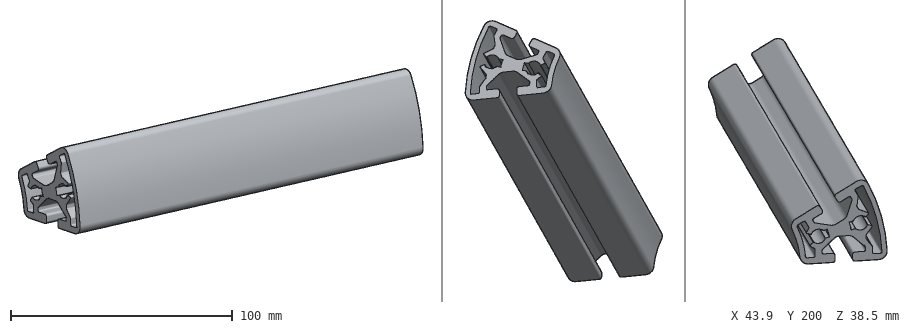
import cadquery as cq
import math

LENGTH = 200.0
SECTOR_ANGLE = 30.0
INNER_RADIUS = 40.0
OUTER_RADIUS = 80.0
MIDDLE_RADIUS = (INNER_RADIUS + OUTER_RADIUS) / 2
CORNER_RADIUS = 4.0

INNER_WALL = 2.5
OUTER_WALL = 2.5
FACE_WALL = 3.0
CAVITY_CORNER_RADIUS = 0.8
CUT_REACH = 20.0

SLOT_HALF_OPENING = 4.0
SLOT_LIP = 4.5
SLOT_HALF_WIDTH = 10.0
SLOT_SIDE_TOP = 6.5
SLOT_HALF_FLOOR = 3.5
SLOT_DEPTH = 12.5
SLOT_CORNER_RADIUS = 0.8
SLOT_FLOOR_RADIUS = 3.5
LIP_EDGE_RADIUS = 1.2
MOUTH_CLEARANCE = 2.0

WEB_SIDE = 13.2
WEB_SLOPE_START = 6.5
WEB_SLOPE_END = 10.5
WEB_SLOPE_RUN = 3.0
WEB_NOTCH_TOP = 12.2
INNER_WEB_TOP = 7.0

CHANNEL_OFFSET = 10.0
CHANNEL_RADIUS = 3.5
CHANNEL_NOTCH = 4.8
CHANNEL_MOUTH_HALF = 1.9
ARM_INNER_REACH = 3.0
ARM_TIP_REACH = 5.0
ARM_TIP_OFFSET = 3.2
ARM_RADIUS = 0.5


def on_bisector(along, across):
    """Point given along and across the bisector, turned into X and Z."""
    turn = math.radians(SECTOR_ANGLE / 2)
    return (
        along * math.cos(turn) - across * math.sin(turn),
        along * math.sin(turn) + across * math.cos(turn),
    )


def prism(corners):
    """Full-length prism over a polygon of (point, rounding radius) corners."""
    outline = cq.Workplane("XZ")
    for index, (point, radius) in enumerate(corners):
        corner = cq.Vector(*point)
        to_previous = (cq.Vector(*corners[index - 1][0]) - corner).normalized()
        to_next = (cq.Vector(*corners[(index + 1) % len(corners)][0]) - corner).normalized()
        half_angle = to_previous.getAngle(to_next) / 2
        setback = radius / math.tan(half_angle)
        start = corner + to_previous * setback
        start_point = (start.x, start.y)
        outline = outline.moveTo(*start_point) if index == 0 else outline.lineTo(*start_point)
        if radius > 0:
            inward = (to_previous + to_next).normalized()
            middle = corner + inward * (radius / math.sin(half_angle) - radius)
            end = corner + to_next * setback
            outline = outline.threePointArc((middle.x, middle.y), (end.x, end.y))
    return outline.close().extrude(-LENGTH)


def disc(radius):
    return cq.Workplane("XZ").circle(radius).extrude(-LENGTH)


def mirrored(body):
    """Mirror image of a body about the bisector."""
    return body.mirror("XY").rotate((0, 0, 0), (0, 1, 0), -SECTOR_ANGLE)


def sector():
    """Solid ring sector with rounded long edges."""
    reach = 2 * OUTER_RADIUS
    turn = math.radians(SECTOR_ANGLE)
    wedge = prism(
        [((0, 0), 0), ((reach, 0), 0), ((reach * math.cos(turn), reach * math.sin(turn)), 0)]
    )
    ring = disc(OUTER_RADIUS).cut(disc(INNER_RADIUS))
    return wedge.intersect(ring).edges("|Y").fillet(CORNER_RADIUS)


def slot():
    """T-slot of the lower face; its mouth flares to round the lip edges."""
    right_side = [
        ((SLOT_HALF_WIDTH, -MOUTH_CLEARANCE), 0),
        ((SLOT_HALF_WIDTH, 0), 0),
        ((SLOT_HALF_OPENING, 0), LIP_EDGE_RADIUS),
        ((SLOT_HALF_OPENING, SLOT_LIP), LIP_EDGE_RADIUS),
        ((SLOT_HALF_WIDTH, SLOT_LIP), SLOT_CORNER_RADIUS),
        ((SLOT_HALF_WIDTH, SLOT_SIDE_TOP), SLOT_CORNER_RADIUS),
        ((SLOT_HALF_FLOOR, SLOT_DEPTH), SLOT_FLOOR_RADIUS),
    ]
    left_side = [((-x, z), radius) for (x, z), radius in reversed(right_side)]
    return prism([((MIDDLE_RADIUS + x, z), radius) for (x, z), radius in right_side + left_side])


def half_cavity(side, web_corners, wall_radius):
    """Lower half of a cavity; side is 1 for the outer cavity and -1 for the inner one."""
    channel = MIDDLE_RADIUS + side * CHANNEL_OFFSET
    far = channel + side * CUT_REACH
    corners = [
        (on_bisector(far, 0), 0),
        ((far, FACE_WALL), 0),
        ((MIDDLE_RADIUS + side * WEB_SIDE, FACE_WALL), CAVITY_CORNER_RADIUS),
        *web_corners,
        (on_bisector(channel + side * ARM_TIP_REACH, -ARM_TIP_OFFSET), ARM_RADIUS),
        (on_bisector(channel + side * ARM_INNER_REACH, -CHANNEL_MOUTH_HALF), 0),
        (on_bisector(channel + side * ARM_INNER_REACH, 0), 0),
    ]
    body = prism(corners)
    wall = disc(wall_radius)
    body = body.intersect(wall) if side > 0 else body.cut(wall)
    wall_corner = (math.sqrt(wall_radius**2 - FACE_WALL**2), LENGTH / 2, FACE_WALL)
    return body.edges(cq.selectors.NearestToPointSelector(wall_corner)).fillet(CAVITY_CORNER_RADIUS)


def outer_half_cavity():
    web_side = MIDDLE_RADIUS + WEB_SIDE
    web_corners = [
        ((web_side, WEB_SLOPE_START), CAVITY_CORNER_RADIUS),
        ((web_side - WEB_SLOPE_RUN, WEB_SLOPE_END), CAVITY_CORNER_RADIUS),
        ((web_side - WEB_SLOPE_RUN, WEB_NOTCH_TOP), CAVITY_CORNER_RADIUS),
    ]
    return half_cavity(1, web_corners, OUTER_RADIUS - OUTER_WALL)


def inner_half_cavity():
    web_corners = [((MIDDLE_RADIUS - WEB_SIDE, INNER_WEB_TOP), CAVITY_CORNER_RADIUS)]
    return half_cavity(-1, web_corners, INNER_RADIUS + INNER_WALL)


def screw_channel(side):
    """Round channel with a flat notch toward the core and an equally wide mouth."""
    center = MIDDLE_RADIUS + side * CHANNEL_OFFSET
    notch_end = center - side * CHANNEL_NOTCH
    mouth_end = center + side * ARM_INNER_REACH
    bore = cq.Workplane("XZ").center(*on_bisector(center, 0)).circle(CHANNEL_RADIUS).extrude(-LENGTH)
    notch = prism(
        [
            (on_bisector(notch_end, -CHANNEL_MOUTH_HALF), 0),
            (on_bisector(mouth_end, -CHANNEL_MOUTH_HALF), 0),
            (on_bisector(mouth_end, CHANNEL_MOUTH_HALF), 0),
            (on_bisector(notch_end, CHANNEL_MOUTH_HALF), 0),
        ]
    )
    return bore.union(notch)


result = sector()
for half_cut in (slot(), outer_half_cavity(), inner_half_cavity()):
    result = result.cut(half_cut).cut(mirrored(half_cut))
for channel_side in (-1, 1):
    result = result.cut(screw_channel(channel_side))